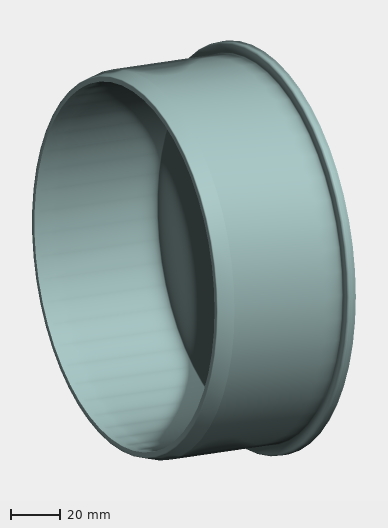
import cadquery as cq

flange_diameter = 170.0
wall_diameter = 160.3
bore_diameter = 152.0
total_length = 60.5
flange_thickness = 3.5
floor_thickness = 3.5

taper_length = 7.0
taper_depth = 1.9
tip_round = 0.5
flange_edge_round = 1.0
root_fillet = 0.5
floor_fillet = 0.5

flange_radius = flange_diameter / 2
wall_radius = wall_diameter / 2
bore_radius = bore_diameter / 2
closed_end = total_length / 2
open_end = -closed_end
flange_front = closed_end - flange_thickness


def disc(radius, start, end):
    """Solid round disc about the Y axis, between two Y positions."""
    plane = cq.Workplane("XZ", origin=(0, end, 0))
    return plane.circle(radius).extrude(end - start)


def edges_at(y, radius):
    """Selector box that holds only the circle of this radius at this Y."""
    margin = 0.2
    reach = radius + margin
    return cq.selectors.BoxSelector(
        (-reach, y - margin, -reach), (reach, y + margin, reach), boundingbox=True
    )


flange = disc(flange_radius, flange_front, closed_end)
flange = flange.faces("<Y").edges().fillet(flange_edge_round)

wall = disc(wall_radius, open_end, closed_end)
wall = wall.faces("<Y").chamfer(taper_length, taper_depth)
wall = wall.faces("<Y").edges().fillet(tip_round)

body = flange.union(wall)
body = body.edges(edges_at(flange_front, wall_radius)).fillet(root_fillet)

bore = disc(bore_radius, open_end, closed_end - floor_thickness)
bore = bore.faces(">Y").edges().fillet(floor_fillet)
result = body.cut(bore)